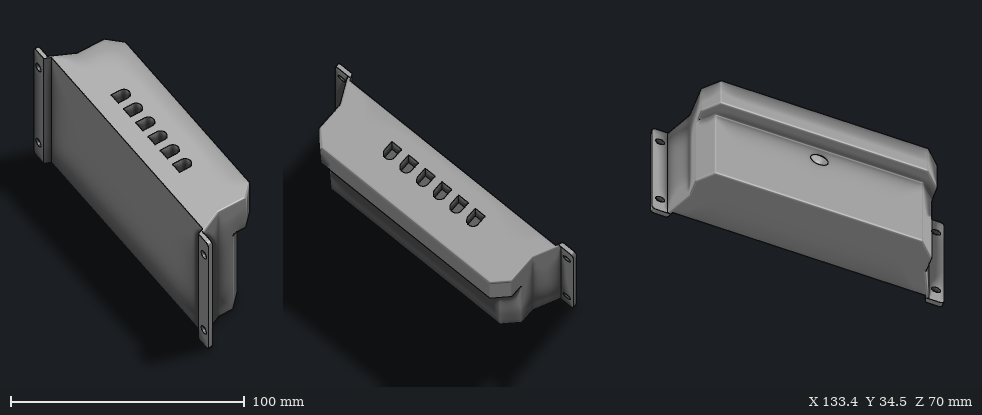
import cadquery as cq
length = 133.4
depth = 34.5
height = 70.0

flange_thickness = 2.1
front_recess = 3.1
flange_width = 7.7
recess_inset = 9.1
side_inset = 12.7
skirt_top = 13.9
skirt_inset = 7.0
corner_chamfer = 6.7

step_depth = 6.7
head_height = 20.0

edge_radius = 1.0
skirt_bend_radius = 1.2
flange_corner_radius = 2.0

hole_diameter = 4.0
hole_inset_x = 3.67
hole_inset_z = 10.0

slot_count = 6
slot_pitch = 9.3
slot_width = 5.5
slot_height = 7.5
slot_base_y = 12.5
slot_depth = 10.0

dome_diameter = 8.0
dome_height = 1.3
dome_z = 40.8

tolerance = 0.1

half_length = length / 2
side_x = half_length - side_inset
skirt_foot_x = half_length - skirt_inset
recess_mouth_x = half_length - flange_width
recess_x = half_length - recess_inset
step_z = height - head_height
lower_back_y = depth - step_depth


def housing(back_y, extent):
    """Prism of the chamfered cross-section whose back face lies at back_y."""
    right_side = [
        (recess_x, front_recess),
        (recess_mouth_x, 0),
        (skirt_foot_x, 0),
        (skirt_foot_x, flange_thickness),
        (side_x, skirt_top),
        (side_x, back_y - corner_chamfer),
        (side_x - corner_chamfer, back_y),
    ]
    left_side = [(-x, y) for x, y in reversed(right_side)]
    return cq.Workplane("XY").polyline(right_side + left_side).close().extrude(extent)


def edges_between(body, direction, y_min, y_max):
    """Edges of the body running in the given direction with centres in a Y range."""
    low = (-length, y_min, -tolerance)
    high = (length, y_max, height + tolerance)
    return body.edges(direction).edges(cq.selectors.BoxSelector(low, high))


def stepped_housing():
    """Housing with a full-depth head, rounded along its rims, ledge, corners and skirt bends."""
    head = housing(depth, head_height).translate((0, 0, step_z))
    body = housing(lower_back_y, step_z).union(head)
    skirt_bends = edges_between(body, "|Z", skirt_top - tolerance, skirt_top + tolerance)
    body = skirt_bends.fillet(skirt_bend_radius)
    corners = edges_between(body, "|Z", skirt_top + skirt_bend_radius, depth + tolerance)
    rims = edges_between(body, "not |Z", front_recess + tolerance, depth + tolerance)
    return corners.add(rims).fillet(edge_radius)


def flange(side):
    """Mounting flange with rounded outer corners and a sloped inner end; side is -1 or 1."""
    inner_back_x = recess_mouth_x - (recess_mouth_x - recess_x) * flange_thickness / front_recess
    outline = [
        (recess_mouth_x, 0),
        (half_length, 0),
        (half_length, flange_thickness),
        (inner_back_x, flange_thickness),
    ]
    plate = cq.Workplane("XY").polyline([(side * x, y) for x, y in outline]).close().extrude(height)
    outer_face = ">X" if side > 0 else "<X"
    return plate.faces(outer_face).edges("|Y").fillet(flange_corner_radius)


def mounting_holes():
    """Four holes through the flanges."""
    hole_x = half_length - hole_inset_x
    points = [(x, z) for x in (-hole_x, hole_x) for z in (hole_inset_z, height - hole_inset_z)]
    return (
        cq.Workplane("XZ", origin=(0, flange_thickness, 0))
        .pushPoints(points)
        .circle(hole_diameter / 2)
        .extrude(flange_thickness)
    )


def cable_slots():
    """Row of round-backed pockets cut down from the top end."""
    radius = slot_width / 2
    straight = slot_height - radius
    slot = (
        cq.Workplane("XY", origin=(0, slot_base_y, height - slot_depth))
        .moveTo(-radius, 0)
        .lineTo(radius, 0)
        .lineTo(radius, straight)
        .threePointArc((0, slot_height), (-radius, straight))
        .close()
        .extrude(slot_depth)
    )
    slots = cq.Workplane("XY")
    for index in range(slot_count):
        x = (index - (slot_count - 1) / 2) * slot_pitch
        slots = slots.add(slot.translate((x, 0, 0)))
    return slots.combine()


def back_dome():
    """Spherical cap standing on the stepped back face."""
    half_chord = dome_diameter / 2
    sphere_radius = (half_chord**2 + dome_height**2) / (2 * dome_height)
    centre_y = lower_back_y + dome_height - sphere_radius
    return cq.Workplane("XY").sphere(sphere_radius).translate((0, centre_y, dome_z))


result = stepped_housing()
for side in (-1, 1):
    result = result.union(flange(side))
result = result.union(back_dome())
result = result.cut(mounting_holes())
result = result.cut(cable_slots())